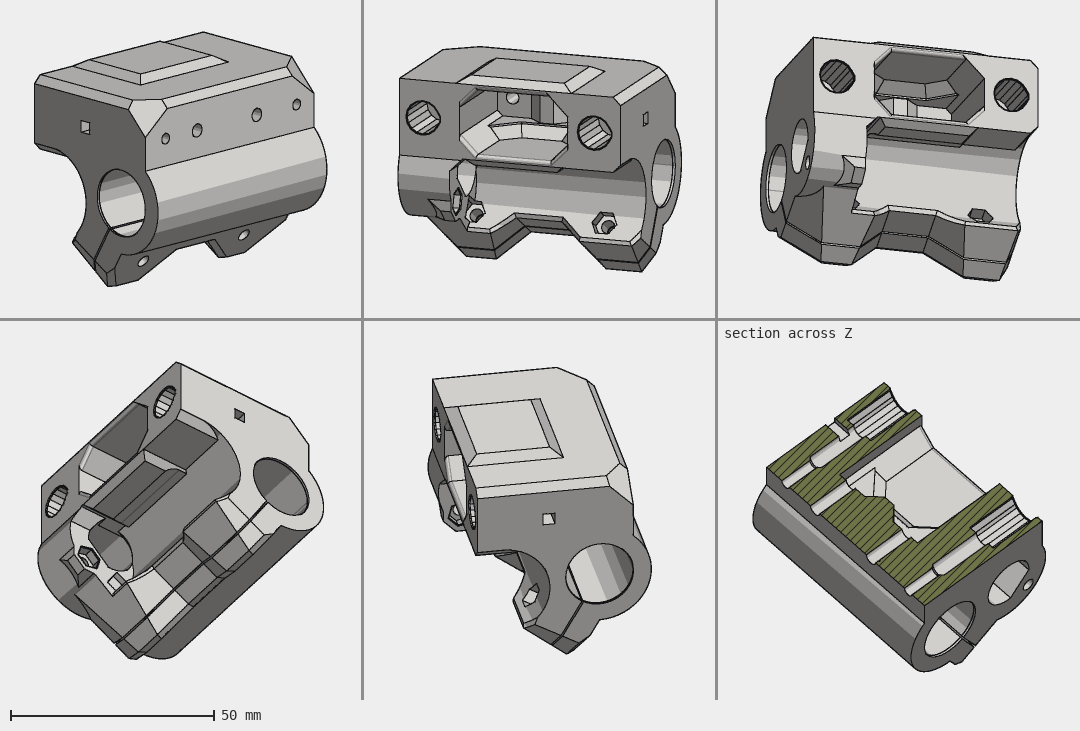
import cadquery as cq
import math

LENGTH = 58.0
BLOCK_WIDTH = 39.15
EDGE_CHAMFER = 2.0

BORE_X, BORE_Z = 30.7, -26.4
BORE_RADIUS = 8.6
LIP_RADIUS = 8.45
LIP_LENGTH = 0.7
HOUSING_RADIUS = 13.0

CHANNEL_X, CHANNEL_Z = 6.4, -29.0
CHANNEL_RADIUS = 11.85
CHANNEL_END = 44.5
CHANNEL_CEILING = -19.1
CEILING_BRACE = 3.1
TUBE_X, TUBE_Z = 11.25, -24.65
TUBE_RADIUS = 24.75 / 2
TUBE_BORE_RADIUS = 13.5 / 2
TUBE_BORE_FLAT = 5.2
TUBE_FLAT_TURN = 45.0
RELIEF_RADIUS = 5.05

POCKET_Y, POCKET_Z = 28.1, -9.55
POCKET_LENGTH = 28.4
POCKET_HEIGHT = 16.35
POCKET_CORNER = 4.65
POCKET_ROUND = 0.9
POCKET_DEPTH = 23.2
POCKET_WALL = 1.75

EAR_ANGLE = 30.0
EAR_HALF_WIDTH = HOUSING_RADIUS / 2
EAR_LEFT = 16.25
EAR_CHAMFER = 1.5
CHANNEL_BEVEL = 1.0
NUT_DROP = 16.2
NUT_SEAT = 5.0
NUT_SLOT_END = 12.5
NUT_PLACES = (10.0, CHANNEL_END)

SCREW_DIAMETER = 3.3
NUT_FLATS = 5.6
NUT_MOUTH_FLATS = 6.0
MOUTH_DEPTH = 0.35
SLIT_WIDTH = 0.45

FAR = 116.0
TOLERANCE = 0.005


def y_prism(points, y_start, y_end):
    """Prism along Y from an outline of (x, z) points."""
    return cq.Workplane("XZ", origin=(0, y_start, 0)).polyline(points).close().extrude(y_start - y_end)


def y_cylinder(x, z, radius, y_start, y_end):
    return cq.Workplane("XZ", origin=(x, y_start, z)).circle(radius).extrude(y_start - y_end)


def x_prism(points, x_start, x_end):
    """Prism along X from an outline of (y, z) points."""
    return cq.Workplane("YZ", origin=(x_start, 0, 0)).polyline(points).close().extrude(x_end - x_start)


def box(x, y, z):
    """Box from three (low, high) ranges."""
    corner = cq.Workplane("XY", origin=(x[0], y[0], z[0]))
    return corner.box(x[1] - x[0], y[1] - y[0], z[1] - z[0], centered=False)


def hexagon_prism(workplane, flats, depth):
    """Hexagonal prism sized across its flats."""
    return workplane.polygon(6, flats / math.cos(math.pi / 6)).extrude(depth)


CORNER_LEG = 7.95
CORNER_LEG_Y = 10.05
PAD_WIDTH = 24.1
PAD_LENGTH = 30.3
PAD_HEIGHT = 1.7
PAD_SLOPE = 60.0


def corner_cut(y_end, inward):
    """Tetrahedron that cuts the upper right corner at one end of the block."""
    corner = cq.Vector(BLOCK_WIDTH, y_end, 0)
    tips = [
        corner - cq.Vector(CORNER_LEG, 0, 0),
        corner + cq.Vector(0, inward * CORNER_LEG_Y, 0),
        corner - cq.Vector(0, 0, CORNER_LEG),
    ]
    faces = [
        cq.Face.makeFromWires(cq.Wire.makePolygon(triangle, close=True))
        for triangle in (
            [corner, tips[0], tips[1]],
            [corner, tips[1], tips[2]],
            [corner, tips[2], tips[0]],
            tips,
        )
    ]
    return cq.Workplane(cq.Solid.makeSolid(cq.Shell.makeShell(faces)))


def make_block():
    block = box((0, BLOCK_WIDTH), (0, LENGTH), (BORE_Z, 0))
    block = block.edges(">Z and (>X or <Y)").chamfer(EDGE_CHAMFER)
    block = block.cut(corner_cut(0, 1)).cut(corner_cut(LENGTH, -1))
    pad = (
        cq.Workplane("XY", origin=(PAD_WIDTH / 2, POCKET_Y, 0))
        .rect(PAD_WIDTH, PAD_LENGTH)
        .extrude(PAD_HEIGHT, taper=PAD_SLOPE)
    )
    return block.union(pad)


def make_channel():
    round_part = y_cylinder(CHANNEL_X, CHANNEL_Z, CHANNEL_RADIUS, 0, CHANNEL_END)
    open_side = box((-FAR, CHANNEL_X), (0, CHANNEL_END), (-FAR, CHANNEL_Z + CHANNEL_RADIUS))
    below_ceiling = x_prism(
        [
            (0, -FAR),
            (0, CHANNEL_CEILING + EDGE_CHAMFER),
            (EDGE_CHAMFER, CHANNEL_CEILING),
            (CHANNEL_END, CHANNEL_CEILING),
            (CHANNEL_END, -FAR),
        ],
        -FAR,
        FAR,
    )
    return round_part.union(open_side).intersect(below_ceiling)


def pocket_outline(offset=0.0):
    """Octagon of the pocket in (y, z), grown outward by an offset."""
    half_length = POCKET_LENGTH / 2 + offset
    half_height = POCKET_HEIGHT / 2 + offset
    corner = POCKET_CORNER + offset * (2 - math.sqrt(2))
    quarter = [(half_length, half_height - corner), (half_length - corner, half_height)]
    left = [(-y, z) for y, z in reversed(quarter)]
    upper = quarter + left
    lower = [(-y, -z) for y, z in upper]
    return [(POCKET_Y + y, POCKET_Z + z) for y, z in upper + lower]


def make_pocket_wall():
    """Part of the pocket floor wall that hangs below the channel ceiling."""
    bottom = CHANNEL_CEILING - POCKET_WALL
    wall = x_prism(pocket_outline(POCKET_Z - POCKET_HEIGHT / 2 - bottom), 0, CHANNEL_X + CHANNEL_RADIUS)
    hanging = y_prism(
        [
            (0, CHANNEL_CEILING),
            (POCKET_WALL, bottom),
            (CHANNEL_X + CHANNEL_RADIUS, bottom),
            (CHANNEL_X + CHANNEL_RADIUS, CHANNEL_CEILING),
        ],
        0,
        CHANNEL_END,
    )
    relief = y_cylinder(TUBE_X, TUBE_Z, RELIEF_RADIUS, 0, CHANNEL_END).union(
        box((TUBE_X, FAR), (0, CHANNEL_END), (TUBE_Z, TUBE_Z + RELIEF_RADIUS))
    )
    return wall.intersect(hanging).cut(relief)


BORE_FRAME = cq.Plane(
    origin=(BORE_X, 0, BORE_Z),
    xDir=(0, 1, 0),
    normal=(math.cos(math.radians(EAR_ANGLE)), 0, -math.sin(math.radians(EAR_ANGLE))),
)
EAR_DEEP = 25.5
EAR_END_TILT = 10.0
EAR_END_DROP = 23.25
NOTCH_DROP = 16.5
EAR_OVERRUN = 2.9
NOTCH_START, NOTCH_END = 21.35, 33.3
FRONT_DROP = 19.0
GENTLE, EVEN, STEEP = 50.0, 45.0, 29.0


def slope_run(drop, angle):
    return (EAR_DEEP - drop) * math.tan(math.radians(angle))


def across_workplane(across):
    """Workplane square to the ears; its axes are Y and minus the drop."""
    return cq.Workplane(BORE_FRAME).workplane(offset=across)


def make_ears():
    outline = [
        (-EAR_OVERRUN, 0),
        (-EAR_OVERRUN, -FRONT_DROP + EAR_OVERRUN / math.tan(math.radians(STEEP))),
        (slope_run(FRONT_DROP, STEEP), -EAR_DEEP),
        (NOTCH_START - slope_run(NOTCH_DROP, GENTLE), -EAR_DEEP),
        (NOTCH_START, -NOTCH_DROP),
        (NOTCH_END, -NOTCH_DROP),
        (NOTCH_END + slope_run(NOTCH_DROP, EVEN), -EAR_DEEP),
        (LENGTH - slope_run(NOTCH_DROP, GENTLE), -EAR_DEEP),
        (LENGTH, -NOTCH_DROP),
        (LENGTH, 0),
    ]
    ears = across_workplane(-EAR_LEFT).polyline(outline).close().extrude(EAR_LEFT + EAR_HALF_WIDTH)

    tilt = math.tan(math.radians(EAR_END_TILT))
    end_frame = cq.Plane(origin=(BORE_X, -EAR_OVERRUN, BORE_Z), xDir=BORE_FRAME.zDir, normal=(0, -1, 0))
    keep = (
        cq.Workplane(end_frame)
        .polyline(
            [
                (-EAR_LEFT, 0),
                (-EAR_LEFT, -EAR_END_DROP + tilt * EAR_LEFT),
                (EAR_HALF_WIDTH, -EAR_END_DROP - tilt * EAR_HALF_WIDTH),
                (EAR_HALF_WIDTH, 0),
            ]
        )
        .close()
        .extrude(-EAR_OVERRUN - LENGTH)
    )
    ears = ears.intersect(keep)

    def is_profile_edge(edge):
        local = BORE_FRAME.toLocalCoords(edge.Center())
        on_end = min(local.x + EAR_OVERRUN, LENGTH - local.x) < TOLERANCE
        return local.y < -TOLERANCE and not on_end

    outer = ears.faces(cq.selectors.DirectionMinMaxSelector(BORE_FRAME.zDir, True)).edges()
    ears = ears.newObject([e for e in outer.vals() if is_profile_edge(e)]).chamfer(EAR_CHAMFER)

    ears = ears.cut(y_cylinder(CHANNEL_X, CHANNEL_Z, CHANNEL_RADIUS, -EAR_OVERRUN, CHANNEL_END))

    def is_channel_rim(edge):
        middle = edge.positionAt(0.5)
        distance = math.hypot(middle.x - CHANNEL_X, middle.z - CHANNEL_Z)
        on_end = middle.y < TOLERANCE - EAR_OVERRUN or middle.y > CHANNEL_END - TOLERANCE
        drop = -BORE_FRAME.toLocalCoords(middle).y
        return abs(distance - CHANNEL_RADIUS) < TOLERANCE and not on_end and drop > HOUSING_RADIUS

    rim = [e for e in ears.edges().vals() if is_channel_rim(e)]
    ears = ears.newObject(rim).chamfer(CHANNEL_BEVEL)
    return ears.cut(box((-FAR, FAR), (-EAR_OVERRUN, 0), (-FAR, FAR)))


TAB_X, TAB_BOTTOM = 0.1, -35.9
TAB_CORNER = 3.15
TAB_END_OFFSET = 11.55
TAB_END_Y = 50.85
TAB_END_SLOPE = 60.0
TUBE_NUT_X, TUBE_NUT_Z = 4.7, -31.2
TUBE_NUT_TURN = 15.0
NUT_DEPTH = 2.6


def tube_bore(y_start, y_end):
    """Round bore with one flat, facing the nut."""
    bore = y_cylinder(0, 0, TUBE_BORE_RADIUS, y_start, y_end)
    flat = box((-TUBE_BORE_FLAT, FAR), (y_start, y_end), (-FAR, FAR))
    return bore.intersect(flat).rotate((0, 0, 0), (0, 1, 0), -TUBE_FLAT_TURN).translate((TUBE_X, 0, TUBE_Z))


def make_tube():
    tube = y_cylinder(TUBE_X, TUBE_Z, TUBE_RADIUS, CHANNEL_END, LENGTH)

    tab = y_prism(
        [
            (TAB_X, TUBE_Z),
            (TAB_X, TAB_BOTTOM + TAB_CORNER),
            (TAB_X + TAB_CORNER, TAB_BOTTOM),
            (TUBE_X, TAB_BOTTOM),
            (TUBE_X, TUBE_Z),
        ],
        CHANNEL_END,
        LENGTH,
    )
    slope = math.tan(math.radians(TAB_END_SLOPE))
    rise = TAB_END_Y - CHANNEL_END
    outward = cq.Plane(origin=(TUBE_X, CHANNEL_END, TUBE_Z), xDir=(-1, 0, -1), normal=(1, 0, -1))
    sloped_end = (
        cq.Workplane(outward)
        .polyline([(0, 0), (TAB_END_OFFSET + rise / slope, 0), (0, rise + slope * TAB_END_OFFSET)])
        .close()
        .extrude(TUBE_RADIUS, both=True)
    )
    tube = tube.union(tab.intersect(sloped_end))

    brace = x_prism(
        [
            (CHANNEL_END, CHANNEL_CEILING),
            (CHANNEL_END - CEILING_BRACE, CHANNEL_CEILING),
            (CHANNEL_END, CHANNEL_CEILING - CEILING_BRACE),
        ],
        TUBE_X - TUBE_RADIUS,
        CHANNEL_X + CHANNEL_RADIUS / 2,
    )
    left_profile = y_cylinder(TUBE_X, TUBE_Z, TUBE_RADIUS, 0, LENGTH).union(
        box((0, TUBE_X), (0, LENGTH), (TUBE_Z, 0))
    )
    brace = brace.intersect(left_profile)
    return tube.union(brace.cut(tube_bore(CHANNEL_END - CEILING_BRACE, CHANNEL_END)))


def cut_tube_holes(body):
    body = body.cut(tube_bore(CHANNEL_END, LENGTH))
    cone_length = TUBE_BORE_RADIUS - RELIEF_RADIUS
    cone = cq.Solid.makeCone(
        RELIEF_RADIUS,
        TUBE_BORE_RADIUS,
        cone_length,
        cq.Vector(TUBE_X, CHANNEL_END - cone_length, TUBE_Z),
        cq.Vector(0, 1, 0),
    )
    cone_zone = box((TUBE_X, FAR), (0, LENGTH), (CHANNEL_Z, CHANNEL_CEILING))
    body = body.cut(cq.Workplane(cone).intersect(cone_zone))

    body = body.cut(y_cylinder(TUBE_NUT_X, TUBE_NUT_Z, SCREW_DIAMETER / 2, CHANNEL_END, LENGTH))
    mouth = hexagon_prism(cq.Workplane("XZ"), NUT_MOUTH_FLATS, -MOUTH_DEPTH)
    nut = hexagon_prism(cq.Workplane("XZ"), NUT_FLATS, -NUT_DEPTH)
    pocket = nut.union(mouth).rotate((0, 0, 0), (0, 1, 0), -TUBE_NUT_TURN)
    return body.cut(pocket.translate((TUBE_NUT_X, CHANNEL_END, TUBE_NUT_Z)))


def cut_clamp(body):
    body = body.cut(y_cylinder(BORE_X, BORE_Z, LIP_RADIUS, 0, LENGTH))
    body = body.cut(y_cylinder(BORE_X, BORE_Z, BORE_RADIUS, LIP_LENGTH, LENGTH - LIP_LENGTH))
    slit = across_workplane(-SLIT_WIDTH / 2).rect(LENGTH, -EAR_DEEP, centered=False).extrude(SLIT_WIDTH)
    body = body.cut(slit)
    for y in NUT_PLACES:
        nut_place = across_workplane(-NUT_SLOT_END).center(y, -NUT_DROP)
        nut = hexagon_prism(nut_place, NUT_FLATS, NUT_SLOT_END - NUT_SEAT)
        screw = (
            across_workplane(-NUT_SEAT)
            .center(y, -NUT_DROP)
            .circle(SCREW_DIAMETER / 2)
            .extrude(NUT_SEAT + EAR_HALF_WIDTH)
        )
        body = body.cut(nut).cut(screw)
    return body


POCKET_BACK = 27.25
BACK_SLOT_HEIGHT = 9.8
POCKET_END_HEIGHT = 10.75
POCKET_END_WIDTH = 12.9
POCKET_END_SLOPE = 45.0
RIDGE_TOP_WIDTH = 3.55
RIDGE_HEIGHT = 3.55
POCKET_SCREW_SPACING = 20.5


def make_pocket():
    reach = POCKET_LENGTH
    end_plan = [
        (POCKET_DEPTH - reach, -POCKET_END_WIDTH / 2 - reach),
        (POCKET_DEPTH, -POCKET_END_WIDTH / 2),
        (POCKET_DEPTH, POCKET_END_WIDTH / 2),
        (POCKET_DEPTH - reach, POCKET_END_WIDTH / 2 + reach),
    ]
    slope_height = (POCKET_HEIGHT - POCKET_END_HEIGHT) / 2
    upper = (
        cq.Workplane("XY")
        .polyline(end_plan)
        .close()
        .extrude(POCKET_END_HEIGHT / 2)
        .faces(">Z")
        .wires()
        .toPending()
        .workplane()
        .extrude(slope_height, taper=POCKET_END_SLOPE)
    )
    end = upper.union(upper.mirror("XY")).translate((0, POCKET_Y, POCKET_Z))
    pocket = x_prism(pocket_outline(), 0, POCKET_BACK).intersect(end)

    slot = box(
        (0, POCKET_BACK),
        (POCKET_Y - POCKET_LENGTH / 2, POCKET_Y + POCKET_LENGTH / 2),
        (POCKET_Z - BACK_SLOT_HEIGHT / 2, POCKET_Z + BACK_SLOT_HEIGHT / 2),
    )
    slot = slot.intersect(x_prism(pocket_outline(), 0, POCKET_BACK))
    half_top = RIDGE_TOP_WIDTH / 2
    ridge = (
        cq.Workplane("XY", origin=(POCKET_BACK, POCKET_Y, POCKET_Z))
        .polyline(
            [
                (0, -half_top - RIDGE_HEIGHT),
                (-RIDGE_HEIGHT, -half_top),
                (-RIDGE_HEIGHT, half_top),
                (0, half_top + RIDGE_HEIGHT),
            ]
        )
        .close()
        .extrude(POCKET_HEIGHT / 2, both=True)
    )
    return pocket.union(slot.cut(ridge))


def round_pocket_mouth(body):
    """Round the level and sloped mouth edges, except the upper one at the front."""

    def is_rounded(edge):
        middle = edge.Center()
        bounds = edge.BoundingBox()
        across = middle.y - POCKET_Y
        up = middle.z - POCKET_Z
        in_face = abs(middle.x) < TOLERANCE and bounds.xlen < TOLERANCE
        upright = bounds.ylen < TOLERANCE
        inside = abs(across) < POCKET_LENGTH / 2 and abs(up) < POCKET_HEIGHT / 2 + TOLERANCE
        at_front_top = across < -TOLERANCE and up > TOLERANCE
        return in_face and inside and not upright and not at_front_top

    return body.newObject([e for e in body.edges().vals() if is_rounded(e)]).fillet(POCKET_ROUND)


def cut_pocket_screws(body):
    for side in (-1, 1):
        y = POCKET_Y + side * POCKET_SCREW_SPACING / 2
        body = body.cut(
            cq.Workplane("YZ", origin=(0, y, POCKET_Z)).circle(SCREW_DIAMETER / 2).extrude(BLOCK_WIDTH)
        )
    return body


SIDE_SCREW_PLACES = (7.0, 51.95)
COUNTERBORE_RADIUS = 4.1
COUNTERBORE_MOUTH_RADIUS = 4.35
COUNTERBORE_PEAK = 4.7
COUNTERBORE_PEAK_ANGLE = 30.0
COUNTERBORE_FACETS = 16
COUNTERBORE_DEPTH = 14.5
SHANK_RADIUS = 2.15
SHANK_END = 29.0
SIDE_HOLE_RADIUS = 1.35
WINDOW_X = 18.0
WINDOW_SIZE = 2.95


def teardrop(radius, peak, depth):
    """Faceted hole along X with a clipped peak toward -Y."""
    lean = math.radians(COUNTERBORE_PEAK_ANGLE)
    side_y, side_z = radius * math.cos(lean), radius * math.sin(lean)
    tip_z = (radius / math.cos(lean) - peak) / math.tan(lean)
    roof = [(0, 0), (-side_y, side_z), (-peak, tip_z), (-peak, -tip_z), (-side_y, -side_z)]
    hole = cq.Workplane("YZ").polygon(COUNTERBORE_FACETS, 2 * radius).extrude(depth)
    return hole.union(x_prism(roof, 0, depth))


def make_side_screw():
    mouth_step = COUNTERBORE_MOUTH_RADIUS - COUNTERBORE_RADIUS
    mouth = teardrop(COUNTERBORE_MOUTH_RADIUS, COUNTERBORE_PEAK, MOUTH_DEPTH)
    bore = teardrop(COUNTERBORE_RADIUS, COUNTERBORE_PEAK - mouth_step, COUNTERBORE_DEPTH)
    shank = cq.Workplane("YZ").circle(SHANK_RADIUS).extrude(SHANK_END)
    seat = cq.Solid.makeCone(
        SHANK_RADIUS,
        SIDE_HOLE_RADIUS,
        SHANK_RADIUS - SIDE_HOLE_RADIUS,
        cq.Vector(SHANK_END, 0, 0),
        cq.Vector(1, 0, 0),
    )
    hole = cq.Workplane("YZ").circle(SIDE_HOLE_RADIUS).extrude(BLOCK_WIDTH)
    return hole.union(cq.Workplane(seat)).union(shank).union(bore).union(mouth)


def cut_side_screws(body):
    for y in SIDE_SCREW_PLACES:
        body = body.cut(make_side_screw().translate((0, y, POCKET_Z)))
    half = WINDOW_SIZE / 2
    window = box(
        (WINDOW_X - half, WINDOW_X + half),
        (0, SIDE_SCREW_PLACES[0]),
        (POCKET_Z - half, POCKET_Z + half),
    )
    return body.cut(window)


channel = make_channel()
housing = y_cylinder(BORE_X, BORE_Z, HOUSING_RADIUS, 0, LENGTH)
body = make_block().union(housing).cut(channel)
body = body.union(make_ears()).union(make_tube()).union(make_pocket_wall())
body = cut_tube_holes(body)
body = cut_clamp(body)
body = body.cut(make_pocket())
body = round_pocket_mouth(body)
body = cut_pocket_screws(body)
result = cut_side_screws(body)